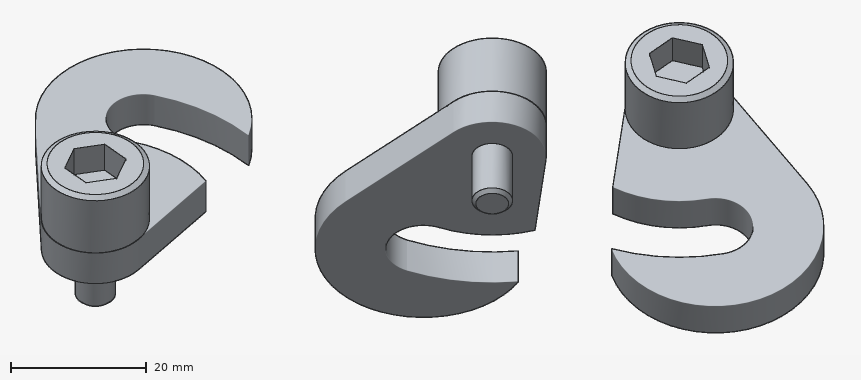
import cadquery as cq
import math

eye_diameter = 16.0
eye_radius = eye_diameter / 2
hook_radius = 2 * eye_radius
overall_length = 48
hook_distance = overall_length - eye_radius - hook_radius
plate_thickness = 5.9
plate_edge_radius = 0.07
slot_width = 11.1

head_height = 10.55
head_chamfer_width = 0.85
head_chamfer_height = 0.5
hex_across_flats = 8.0
hex_depth = 5.0

pin_diameter = 6.0
pin_length = 9.0
pin_chamfer = 0.58


def tangent_outline():
    """Two circles joined by their outer tangent lines."""
    tangent_sine = (hook_radius - eye_radius) / hook_distance
    tangent_cosine = math.sqrt(1 - tangent_sine**2)
    eye_x = eye_radius * tangent_cosine
    eye_y = -eye_radius * tangent_sine
    hook_x = hook_radius * tangent_cosine
    hook_y = hook_distance - hook_radius * tangent_sine
    return (
        cq.Workplane("XY")
        .moveTo(eye_x, eye_y)
        .lineTo(hook_x, hook_y)
        .threePointArc((0, hook_distance + hook_radius), (-hook_x, hook_y))
        .lineTo(-eye_x, eye_y)
        .threePointArc((0, -eye_radius), (eye_x, eye_y))
        .close()
    )


def slot_cutter():
    """Curved slot centred on the screw axis, round at its closed end and open toward +X."""
    half_width = slot_width / 2
    outer = hook_distance + half_width
    inner = hook_distance - half_width
    diagonal = math.sqrt(0.5)
    return (
        cq.Workplane("XY")
        .moveTo(0, outer)
        .threePointArc((outer * diagonal, outer * diagonal), (outer, 0))
        .lineTo(inner, 0)
        .threePointArc((inner * diagonal, inner * diagonal), (0, inner))
        .threePointArc((-half_width, hook_distance), (0, outer))
        .close()
        .extrude(plate_thickness)
    )


def screw_head():
    """Cylindrical head with a beveled rim and a hexagonal socket, corners along Y."""
    top = plate_thickness + head_height
    head = (
        cq.Workplane("XY")
        .workplane(offset=plate_thickness)
        .circle(eye_radius)
        .extrude(head_height)
        .faces(">Z")
        .edges()
        .chamfer(head_chamfer_height, head_chamfer_width)
    )
    socket = (
        cq.Workplane("XY")
        .workplane(offset=top - hex_depth)
        .polygon(6, hex_across_flats, circumscribed=True)
        .extrude(hex_depth)
    )
    return head.cut(socket)


def pin():
    """Pin below the plate with a chamfered tip."""
    return (
        cq.Workplane("XY")
        .circle(pin_diameter / 2)
        .extrude(-pin_length)
        .faces("<Z")
        .edges()
        .chamfer(pin_chamfer)
    )


hook = tangent_outline().extrude(plate_thickness).cut(slot_cutter())
hook = hook.edges().fillet(plate_edge_radius)
result = hook.union(screw_head()).union(pin())